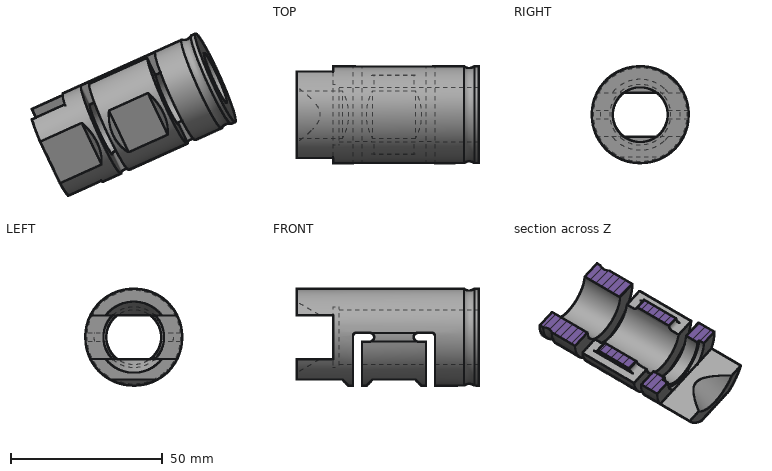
import cadquery as cq
import math

length = 60.0
outer_diameter = 32.0
outer_radius = outer_diameter / 2
through_diameter = 18.0
counterbore_diameter = 20.0
counterbore_end = 14.0

fork_depth = 12.0
fork_height = 14.4
mouth_radius = 11.7
mouth_half_angle = 30.0

groove_start = 55.0
groove_end = 58.5
groove_depth = 0.6

flat_drop = 14.0
front_flat_end = 15.1
ramp_run = outer_radius - flat_drop

arm_center = 32.05
arm_length = 21.1
slot_width = 2.9
slot_corner_radius = 1.0
hinge_length = 13.1
hinge_radius = 13.0
arm_flat_length = 14.15


def box(x_start, x_end, width, z_bottom, z_top):
    """Box between two X stations and two heights, centered on Y."""
    return (
        cq.Workplane("XY")
        .box(x_end - x_start, width, z_top - z_bottom, centered=(False, True, False))
        .translate((x_start, 0, z_bottom))
    )


def rod(diameter, x_start, x_end):
    """Cylinder along X."""
    return cq.Workplane("YZ", origin=(x_start, 0, 0)).circle(diameter / 2).extrude(x_end - x_start)


def mouth_cone():
    cone_length = mouth_radius / math.tan(math.radians(mouth_half_angle))
    profile = cq.Workplane("XZ").polyline([(0, 0), (cone_length, 0), (0, mouth_radius)]).close()
    cone = profile.revolve(360, (0, 0, 0), (1, 0, 0))
    return cone.intersect(box(0, fork_depth, outer_diameter, -outer_radius, outer_radius))


def ring_groove():
    groove_middle = (groove_start + groove_end) / 2
    return (
        cq.Workplane("XZ")
        .moveTo(groove_start, outer_radius)
        .threePointArc((groove_middle, outer_radius - groove_depth), (groove_end, outer_radius))
        .close()
        .revolve(360, (0, 0, 0), (1, 0, 0))
    )


def underside_flat(x_start, x_end, start_ramp, end_ramp):
    """Cut below the flat; a ramp length of zero leaves that end square."""
    return (
        cq.Workplane("XZ", origin=(0, outer_radius, 0))
        .polyline([
            (x_start, -flat_drop),
            (x_end, -flat_drop),
            (x_end + end_ramp, -outer_radius),
            (x_start - start_ramp, -outer_radius),
        ])
        .close()
        .extrude(outer_diameter)
    )


def arm_slot():
    """Slot around the arms, less the curved hinge strips that carry them."""
    half_slot = slot_width / 2
    half_arm = arm_length / 2
    outer_half = half_arm + slot_width
    slot = box(
        arm_center - outer_half, arm_center + outer_half, outer_diameter, -outer_radius, half_slot
    )
    slot = slot.edges("|Y and >Z").fillet(slot_corner_radius)
    arm = box(
        arm_center - half_arm, arm_center + half_arm, outer_diameter, -outer_radius, -half_slot
    )
    hinge = box(
        arm_center - hinge_length / 2 - half_slot,
        arm_center + hinge_length / 2 + half_slot,
        outer_diameter,
        -half_slot,
        half_slot,
    )
    for side in (-1, 1):
        end_round = (
            cq.Workplane("XZ", origin=(arm_center + side * (hinge_length / 2 + half_slot), outer_radius, 0))
            .circle(half_slot)
            .extrude(outer_diameter)
        )
        hinge = hinge.cut(end_round)
    hinge = hinge.intersect(rod(2 * hinge_radius, 0, length))
    return slot.cut(arm).cut(hinge)


body = rod(outer_diameter, 0, length)
body = body.cut(rod(through_diameter, fork_depth, length))
body = body.cut(rod(counterbore_diameter, fork_depth, counterbore_end))
body = body.cut(box(0, fork_depth, outer_diameter, -fork_height / 2, fork_height / 2))
body = body.cut(mouth_cone())
body = body.cut(ring_groove())
body = body.cut(underside_flat(0, front_flat_end, 0, ramp_run))
body = body.cut(
    underside_flat(
        arm_center - arm_flat_length / 2, arm_center + arm_flat_length / 2, ramp_run, ramp_run
    )
)
result = body.cut(arm_slot())